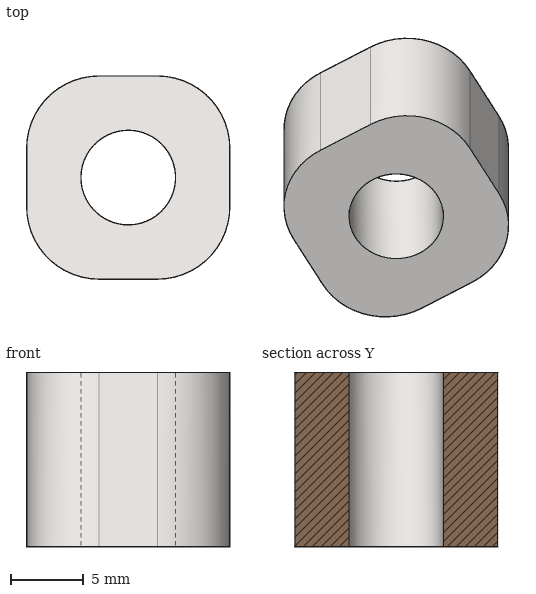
import cadquery as cq

side = 14.0
height = 12.0
corner_radius = 5.0
bore_diameter = 6.5

block = (
    cq.Workplane("XY")
    .rect(side, side)
    .extrude(height)
    .edges("|Z")
    .fillet(corner_radius)
)

result = block.faces(">Z").workplane().hole(bore_diameter)